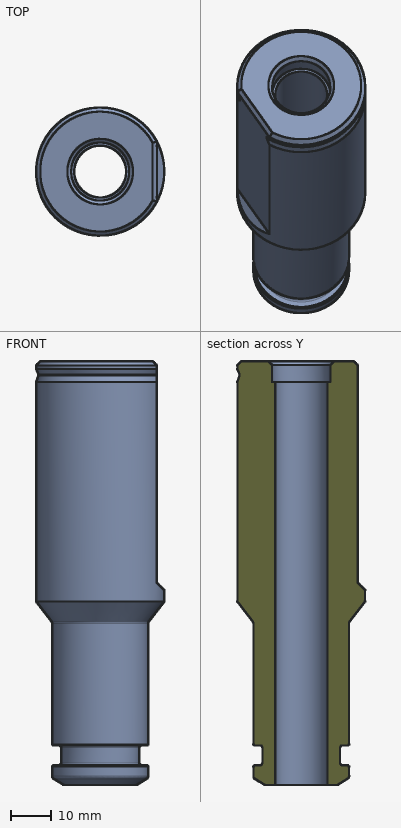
import cadquery as cq

length = 105.5
body_radius = 32.0 / 2
shank_radius = 24.0 / 2
neck_radius = 19.5 / 2

tip_chamfer_height = 1.8
tip_chamfer_width = 2.8
neck_bottom = 5.0
neck_top = 9.8
neck_fillet = 0.5
neck_edge_chamfer = 0.3
shank_top = 40.5
cone_top = 45.7
shank_blend_radius = 0.8

top_chamfer = 1.1
groove_bottom = 100.3
groove_top = 103.5
groove_floor_width = 0.3
groove_depth = 0.58

flat_offset = 14.1
flat_bottom = 50.3

bore_diameter = 12.9
counterbore_diameter = 14.5
counterbore_depth = 5.2
bore_rim_chamfer = 1.0


def make_turned_body():
    """Revolve the half outline, drawn as radius against height, about Z."""
    groove_middle = (groove_bottom + groove_top) / 2 + groove_floor_width / 2
    groove_radius = body_radius - groove_depth
    profile = (
        cq.Workplane("XZ")
        .moveTo(0, 0)
        .lineTo(shank_radius - tip_chamfer_width, 0)
        .lineTo(shank_radius, tip_chamfer_height)
        .lineTo(shank_radius, neck_bottom - neck_edge_chamfer)
        .lineTo(shank_radius - neck_edge_chamfer, neck_bottom)
        .lineTo(neck_radius + neck_fillet, neck_bottom)
        .radiusArc((neck_radius, neck_bottom + neck_fillet), neck_fillet)
        .lineTo(neck_radius, neck_top - neck_fillet)
        .radiusArc((neck_radius + neck_fillet, neck_top), neck_fillet)
        .lineTo(shank_radius - neck_edge_chamfer, neck_top)
        .lineTo(shank_radius, neck_top + neck_edge_chamfer)
        .lineTo(shank_radius, shank_top)
        .lineTo(body_radius, cone_top)
        .lineTo(body_radius, groove_bottom)
        .lineTo(groove_radius, groove_middle - groove_floor_width / 2)
        .lineTo(groove_radius, groove_middle + groove_floor_width / 2)
        .lineTo(body_radius, groove_top)
        .lineTo(body_radius, length - top_chamfer)
        .lineTo(body_radius - top_chamfer, length)
        .lineTo(0, length)
        .close()
    )
    return profile.revolve(360, (0, 0, 0), (0, 1, 0))


def blend_shank_ends(body):
    """Round the circular edges at the tip chamfer and at the foot of the cone."""
    for edge_height in (tip_chamfer_height, shank_top):
        edge = cq.NearestToPointSelector((0, 0, edge_height))
        body = body.edges(edge).fillet(shank_blend_radius)
    return body


def make_flat_cutter():
    """Prism that removes the +X side above the ramp and chamfers the flat's top edge."""
    ramp_run = body_radius - flat_offset
    return (
        cq.Workplane("XZ")
        .moveTo(flat_offset, flat_bottom)
        .lineTo(body_radius, flat_bottom - ramp_run)
        .lineTo(body_radius, length)
        .lineTo(flat_offset - top_chamfer, length)
        .lineTo(flat_offset, length - top_chamfer)
        .close()
        .extrude(body_radius, both=True)
    )


def make_bore_cutter():
    """Through bore, counterbore and chamfered rim, revolved as one tool."""
    bore_radius = bore_diameter / 2
    counterbore_radius = counterbore_diameter / 2
    return (
        cq.Workplane("XZ")
        .moveTo(0, 0)
        .lineTo(bore_radius, 0)
        .lineTo(bore_radius, length - counterbore_depth)
        .lineTo(counterbore_radius, length - counterbore_depth)
        .lineTo(counterbore_radius, length - bore_rim_chamfer)
        .lineTo(counterbore_radius + bore_rim_chamfer, length)
        .lineTo(0, length)
        .close()
        .revolve(360, (0, 0, 0), (0, 1, 0))
    )


result = blend_shank_ends(make_turned_body()).cut(make_flat_cutter()).cut(make_bore_cutter())